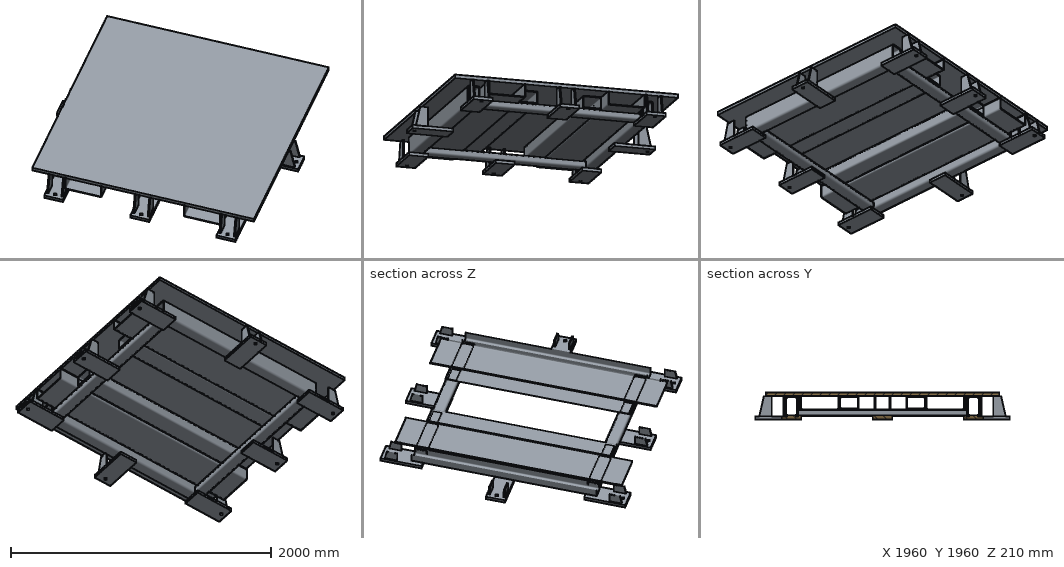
import cadquery as cq

SPAN = 1960.0

DECK_SIDE = 1800.0
DECK_THICKNESS = 30.0

FOOT_THICKNESS = 25.0
FRAME_HEIGHT = 155.0
DECK_UNDERSIDE = FOOT_THICKNESS + FRAME_HEIGHT

FOOT_WIDTH = 153.0
FOOT_LENGTH = 330.0
FOOT_HOLE_DIAMETER = 22.0
FOOT_HOLE_INSET = 40.0
GUSSET_THICKNESS = 12.0
GUSSET_SPACING = 118.0
GUSSET_FOOT_INSET = 31.0
GUSSET_DECK_INSET = 67.0
GUSSET_INNER_INSET = 130.0
SIDE_FOOT_OFFSET = 700.0

FRAME_LENGTH = 1482.0
RAIL_WIDTH = 100.0
RAIL_WALL = 10.0
BEARER_WIDTH = 150.0
BEARER_HEIGHT = 100.0
BEARER_WALL = 8.0
BEARER_OFFSET = 257.0
CROSSMEMBER_WIDTH = 100.0
CROSSMEMBER_WALL = 8.0
CROSSMEMBER_HEIGHT = FRAME_HEIGHT - BEARER_HEIGHT

POCKET_WIDTH = 300.0
POCKET_WALL = 8.0
POCKET_LENGTH = 1815.0
POCKET_HEIGHT = BEARER_HEIGHT + POCKET_WALL
POCKET_OFFSET = BEARER_OFFSET + (BEARER_WIDTH + POCKET_WIDTH) / 2


def make_deck():
    """Square plate that lies on top of the frame."""
    deck = cq.Workplane("XY").box(DECK_SIDE, DECK_SIDE, DECK_THICKNESS, centered=(True, True, False))
    return deck.translate((0, 0, DECK_UNDERSIDE))


def make_bar(width, length, height, radius):
    """Bar along Y with rounded long edges, standing on Z = 0."""
    bar = cq.Workplane("XY").box(width, length, height, centered=(True, True, False))
    return bar.edges("|Y").fillet(radius)


def make_tube(width, length, height, wall):
    """Open-ended rectangular tube along Y, standing on Z = 0, with corners of two wall thicknesses."""
    bore = make_bar(width - 2 * wall, length, height - 2 * wall, wall)
    return make_bar(width, length, height, 2 * wall).cut(bore.translate((0, 0, wall)))


def make_foot():
    """Foot plate on the -Y edge with an anchor hole and two gussets."""
    outer_end = -SPAN / 2
    foot = (
        cq.Workplane("XY")
        .box(FOOT_WIDTH, FOOT_LENGTH, FOOT_THICKNESS, centered=(True, False, False))
        .translate((0, outer_end, 0))
    )
    hole = (
        cq.Workplane("XY")
        .center(0, outer_end + FOOT_HOLE_INSET)
        .circle(FOOT_HOLE_DIAMETER / 2)
        .extrude(FOOT_THICKNESS)
    )
    foot = foot.cut(hole)
    gusset = (
        cq.Workplane("YZ")
        .moveTo(outer_end + GUSSET_FOOT_INSET, FOOT_THICKNESS)
        .lineTo(outer_end + GUSSET_INNER_INSET, FOOT_THICKNESS)
        .lineTo(outer_end + GUSSET_INNER_INSET, DECK_UNDERSIDE)
        .lineTo(outer_end + GUSSET_DECK_INSET, DECK_UNDERSIDE)
        .close()
        .extrude(GUSSET_THICKNESS / 2, both=True)
    )
    for side in (-1, 1):
        foot = foot.union(gusset.translate((side * GUSSET_SPACING / 2, 0, 0)))
    return foot


def make_pocket():
    """Open-topped channel along Y whose walls reach the deck."""
    channel = cq.Workplane("XY").box(
        POCKET_WIDTH, POCKET_LENGTH, POCKET_HEIGHT, centered=(True, True, False)
    )
    channel = channel.edges("|Y and <Z").fillet(2 * POCKET_WALL)
    opening = cq.Workplane("XY").box(
        POCKET_WIDTH - 2 * POCKET_WALL, POCKET_LENGTH, BEARER_HEIGHT, centered=(True, True, False)
    )
    opening = opening.edges("|Y and <Z").fillet(POCKET_WALL)
    return channel.cut(opening.translate((0, 0, POCKET_WALL)))


def make_crossmember():
    """Low tube along X between the inner faces of the rails."""
    length = 2 * SIDE_FOOT_OFFSET - RAIL_WIDTH
    tube = make_tube(CROSSMEMBER_WIDTH, length, CROSSMEMBER_HEIGHT, CROSSMEMBER_WALL)
    return tube.rotate((0, 0, 0), (0, 0, 1), 90)


def make_frame():
    """Welded frame: feet, rails, bearers, crossmembers and fork pockets as one solid."""
    foot = make_foot()
    members = []

    for x in (-SIDE_FOOT_OFFSET, 0, SIDE_FOOT_OFFSET):
        front_foot = foot.translate((x, 0, 0))
        members.append(front_foot)
        members.append(front_foot.mirror("XZ"))
    for angle in (-90, 90):
        members.append(foot.rotate((0, 0, 0), (0, 0, 1), angle))

    crossmember = make_crossmember()
    crossmember_offset = (FRAME_LENGTH - CROSSMEMBER_WIDTH) / 2
    for side in (-1, 1):
        members.append(crossmember.translate((0, side * crossmember_offset, FOOT_THICKNESS)))

    rail = make_tube(RAIL_WIDTH, FRAME_LENGTH, FRAME_HEIGHT, RAIL_WALL)
    bearer = make_tube(BEARER_WIDTH, FRAME_LENGTH, BEARER_HEIGHT, BEARER_WALL)
    pocket = make_pocket()
    for side in (-1, 1):
        members.append(rail.translate((side * SIDE_FOOT_OFFSET, 0, FOOT_THICKNESS)))
        members.append(bearer.translate((side * BEARER_OFFSET, 0, DECK_UNDERSIDE - BEARER_HEIGHT)))
        members.append(pocket.translate((side * POCKET_OFFSET, 0, DECK_UNDERSIDE - POCKET_HEIGHT)))

    frame = members[0]
    for member in members[1:]:
        frame = frame.union(member)
    return frame


deck = make_deck()
frame = make_frame()

result = cq.Compound.makeCompound([deck.val(), *frame.solids().vals()])